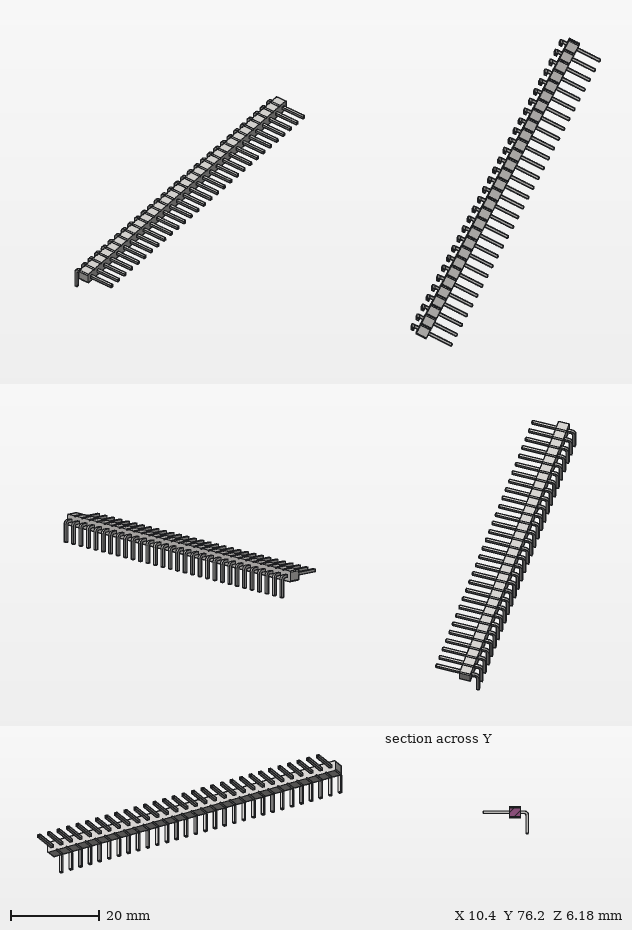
import cadquery as cq

PIN_COUNT = 30
PITCH = 2.54

BODY_DEPTH = 2.54
BODY_HEIGHT = 2.54
BODY_CHAMFER = 0.25

PIN_SIZE = 0.64
BEND_INNER_RADIUS = 0.32
TIP_CHAMFER = 0.15

MATING_LENGTH = 6.0
LEG_OFFSET = 1.5
LEG_DROP = 4.91

BODY_REAR_X = LEG_OFFSET
PIN_END_X = BODY_REAR_X + BODY_DEPTH + MATING_LENGTH
BEND_RADIUS = BEND_INNER_RADIUS + PIN_SIZE / 2


def make_cell():
    """One insulator cell: a block with its four X edges chamfered."""
    return (
        cq.Workplane("XY")
        .box(BODY_DEPTH, PITCH, BODY_HEIGHT)
        .edges("|X")
        .chamfer(BODY_CHAMFER)
        .translate((BODY_REAR_X + BODY_DEPTH / 2, 0, 0))
    )


def make_pin():
    """One square pin swept around its bend, with both tips chamfered."""
    path = (
        cq.Workplane("XZ")
        .moveTo(0, -LEG_DROP)
        .lineTo(0, -BEND_RADIUS)
        .radiusArc((BEND_RADIUS, 0), BEND_RADIUS)
        .lineTo(PIN_END_X, 0)
    )
    pin = (
        cq.Workplane("XY", origin=(0, 0, -LEG_DROP))
        .rect(PIN_SIZE, PIN_SIZE)
        .sweep(path)
    )
    for tip in ("<Z", ">X"):
        pin = pin.faces(tip).chamfer(TIP_CHAMFER)
    return pin


def make_row(position):
    """The positions repeated along Y at the pitch and fused into one solid."""
    unit = position.val()
    return (
        cq.Workplane("XY")
        .rarray(1, PITCH, 1, PIN_COUNT)
        .eachpoint(lambda location: unit.moved(location), combine=True)
        .clean()
    )


result = make_row(make_cell().union(make_pin()))